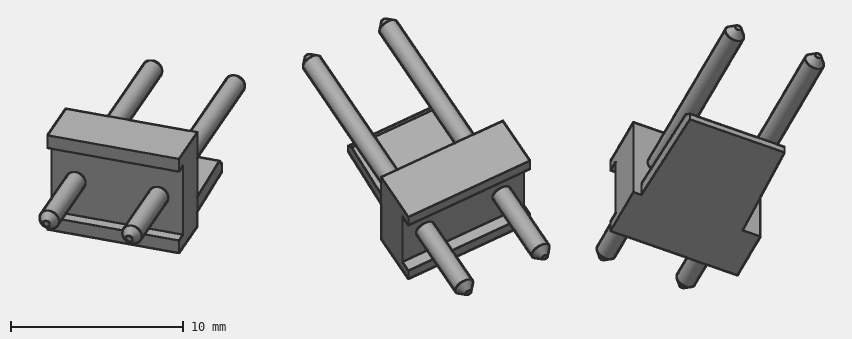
import cadquery as cq

housing_width = 8.09
housing_depth = 3.22
housing_height = 6.35
recess_depth = 0.7
rail_height = 0.85

pin_length = 19.03
pin_diameter = 1.2
pin_pitch = 5.08
pin_count = 2
pin_first_x = -pin_pitch * (pin_count - 1) / 2
pin_front_length = 4.43
pin_height = housing_height / 2
tip_length = 0.5
tip_diameter = 0.4

tab_length = 6.34
tab_thickness = 1.0
tab_bevel = 0.5
tab_left_root_x = -2.91
tab_right_root_x = 3.54
tab_side_taper = 0.2



def make_housing():
    block = cq.Workplane("XY").box(
        housing_width, housing_depth, housing_height, centered=(True, False, False)
    )
    recess = (
        cq.Workplane("XY")
        .box(housing_width, recess_depth, housing_height - 2 * rail_height, centered=(True, False, False))
        .translate((0, 0, rail_height))
    )
    return block.cut(recess)


def make_tab():
    """Flat tab behind the housing, narrowing on both sides, with a bevelled tip."""
    root_y = housing_depth
    tip_y = root_y + tab_length
    plan = [
        (tab_left_root_x, root_y),
        (tab_right_root_x, root_y),
        (tab_right_root_x - tab_side_taper, tip_y),
        (tab_left_root_x + tab_side_taper, tip_y),
    ]
    tab = cq.Workplane("XY").polyline(plan).close().extrude(tab_thickness)
    return tab.faces(">Y").edges(">Z").chamfer(tab_bevel)


def make_pin(center_x):
    """Round pin with a truncated cone at each end."""
    radius = pin_diameter / 2
    tip_radius = tip_diameter / 2
    front_y = -pin_front_length
    back_y = front_y + pin_length
    profile = [
        (0, front_y),
        (tip_radius, front_y),
        (radius, front_y + tip_length),
        (radius, back_y - tip_length),
        (tip_radius, back_y),
        (0, back_y),
    ]
    pin = cq.Workplane("XY").polyline(profile).close().revolve(360, (0, 0, 0), (0, 1, 0))
    return pin.translate((center_x, 0, pin_height))


result = make_housing().union(make_tab())
for index in range(pin_count):
    result = result.union(make_pin(pin_first_x + index * pin_pitch))